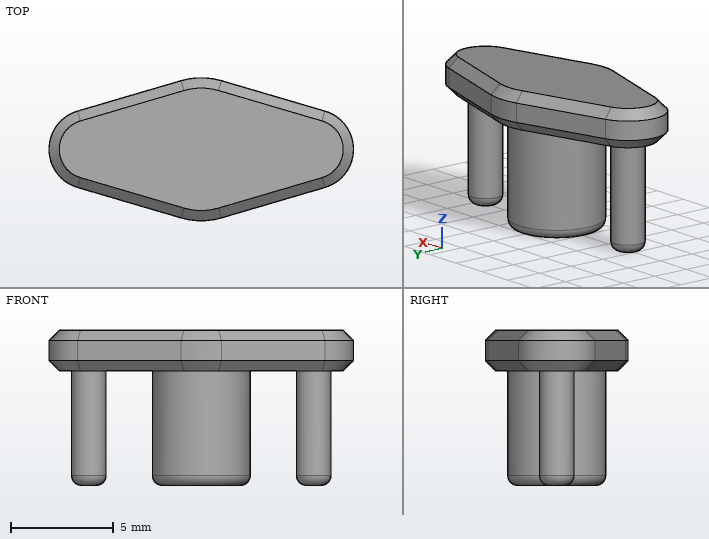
import cadquery as cq
import math

length = 14.89
total_height = 7.6
plate_thickness = 2.0
plate_chamfer = 0.5
middle_radius = 3.5
end_radius = 1.95
boss_diameter = 4.8
pin_diameter = 1.7
tip_fillet = 0.49

pin_offset = length / 2 - end_radius
post_length = total_height - plate_thickness


def make_plate():
    """Rounded diamond: a middle circle joined to two end circles by tangent lines."""
    tangent_sine = (middle_radius - end_radius) / pin_offset
    tangent_cosine = math.sqrt(1 - tangent_sine**2)
    middle_x = middle_radius * tangent_sine
    middle_y = middle_radius * tangent_cosine
    end_x = pin_offset + end_radius * tangent_sine
    end_y = end_radius * tangent_cosine
    return (
        cq.Workplane("XY")
        .moveTo(-middle_x, middle_y)
        .threePointArc((0, middle_radius), (middle_x, middle_y))
        .lineTo(end_x, end_y)
        .threePointArc((length / 2, 0), (end_x, -end_y))
        .lineTo(middle_x, -middle_y)
        .threePointArc((0, -middle_radius), (-middle_x, -middle_y))
        .lineTo(-end_x, -end_y)
        .threePointArc((-length / 2, 0), (-end_x, end_y))
        .close()
        .extrude(plate_thickness)
        .faces("<Z or >Z")
        .chamfer(plate_chamfer)
    )


def make_post(x, diameter):
    """Round post hanging below the plate, with a rounded tip."""
    return (
        cq.Workplane("XY")
        .center(x, 0)
        .circle(diameter / 2)
        .extrude(-post_length)
        .faces("<Z")
        .edges()
        .fillet(tip_fillet)
    )


result = make_plate().union(make_post(0, boss_diameter))
for pin_x in (-pin_offset, pin_offset):
    result = result.union(make_post(pin_x, pin_diameter))